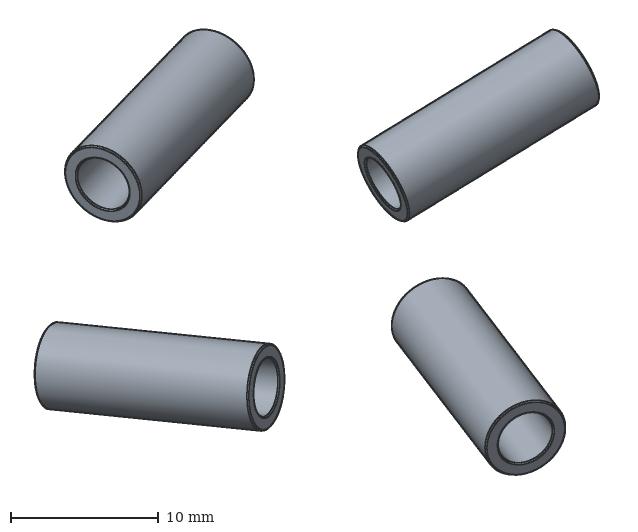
import cadquery as cq

length = 16.0
outer_diameter = 5.95
bore_diameter = 4.0
edge_chamfer = 0.1


def make_tube():
    """Hollow cylinder along Y, from -length / 2 to +length / 2."""
    return (
        cq.Workplane("XZ", origin=(0, length / 2, 0))
        .circle(outer_diameter / 2)
        .circle(bore_diameter / 2)
        .extrude(length)
    )


def break_end_edges(tube):
    """Chamfer the outer rim and the bore mouth at both ends."""
    return tube.faces("<Y or >Y").edges().chamfer(edge_chamfer)


result = break_end_edges(make_tube())